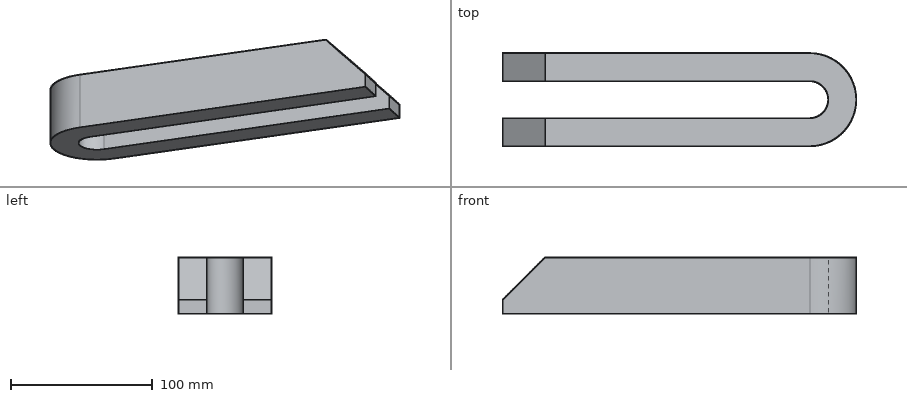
import cadquery as cq

length = 250.0
height = 40.0
leg_width = 20.0
slot_width = 26.0
nose_height = 10.0
bevel_length = 30.0

width = 2 * leg_width + slot_width
outer_radius = width / 2
slot_radius = slot_width / 2
bend_center_x = length - outer_radius


def round_ended_bar(radius):
    """Bar along X from x = 0, square at the start and rounded about the bend center."""
    return (
        cq.Workplane("XY")
        .moveTo(0, -radius)
        .lineTo(bend_center_x, -radius)
        .threePointArc((bend_center_x + radius, 0), (bend_center_x, radius))
        .lineTo(0, radius)
        .close()
        .extrude(height)
    )


def nose_bevel():
    """Wedge that slopes the top of both leg tips down to the nose height."""
    return (
        cq.Workplane("XZ")
        .polyline([(0, nose_height), (bevel_length, height), (0, height)])
        .close()
        .extrude(outer_radius, both=True)
    )


result = round_ended_bar(outer_radius).cut(round_ended_bar(slot_radius)).cut(nose_bevel())